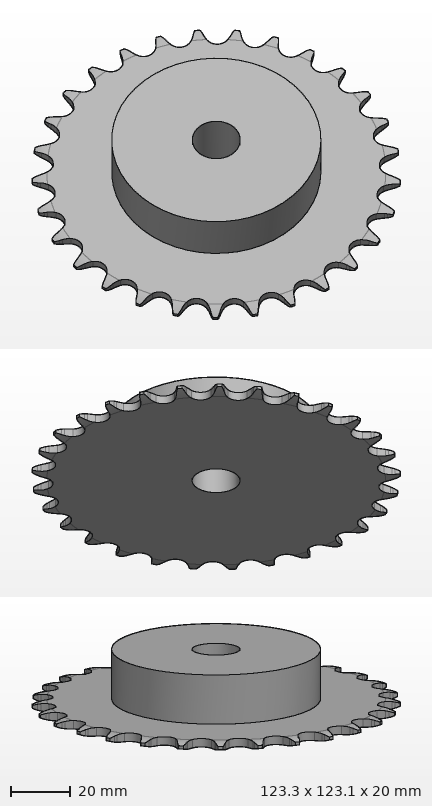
import cadquery as cq
import math


overall_length = 123.3
overall_height = 20.0
plate_thickness = 3.0
hub_diameter = 70.0
bore_diameter = 16.0

tooth_count = 29
chain_pitch = 12.7
seat_radius = 4.1
seat_half_angle = math.radians(53)
working_radius = 10.4
working_angle = math.radians(16)
flat_length = 1.07
tip_width = 1.6

bevel_start_radius = 56.7
bevel_arc_radius = 13.5

tooth_angle = 2 * math.pi / tooth_count
pitch_radius = chain_pitch / 2 / math.sin(tooth_angle / 2)
root_radius = pitch_radius - seat_radius

tip_half_angle = tip_width / overall_length
tip_radius = overall_length / 2 / math.cos(tooth_angle / 4 - tip_half_angle)


def polar(radius, angle):
    return radius * math.cos(angle), radius * math.sin(angle)


def offset(point, distance, angle):
    step_x, step_y = polar(distance, angle)
    return point[0] + step_x, point[1] + step_y


def tangent_arc_middle(start, heading, end):
    """Middle point of the arc that leaves start along heading and finishes at end."""
    chord_x = end[0] - start[0]
    chord_y = end[1] - start[1]
    turn = math.atan2(chord_y, chord_x) - heading
    half_chord = math.hypot(chord_x, chord_y) / 2
    return offset(start, half_chord / math.cos(turn / 2), heading + turn / 2)


def flank_points():
    """Points from seat to tip on the +Y flank of a tooth that points along +X."""
    gap_angle = tooth_angle / 2
    seat_center = polar(pitch_radius, gap_angle)
    seat_end_angle = gap_angle + math.pi + seat_half_angle
    working_end_angle = seat_end_angle + working_angle
    working_middle_angle = seat_end_angle + working_angle / 2
    flat_heading = working_end_angle + math.pi / 2 - 2 * math.pi

    seat_end = offset(seat_center, seat_radius, seat_end_angle)
    working_center = offset(seat_end, -working_radius, seat_end_angle)
    working_middle = offset(working_center, working_radius, working_middle_angle)
    working_end = offset(working_center, working_radius, working_end_angle)
    flat_end = offset(working_end, flat_length, flat_heading)
    tip_corner = polar(tip_radius, tip_half_angle)
    topping_middle = tangent_arc_middle(flat_end, flat_heading, tip_corner)
    return seat_end, working_middle, working_end, flat_end, topping_middle, tip_corner


def place_point(point, angle, side):
    """Mirror a flank point to the given side (+1 or -1) and turn it to the tooth at angle."""
    x, y = point[0], side * point[1]
    return (
        x * math.cos(angle) - y * math.sin(angle),
        x * math.sin(angle) + y * math.cos(angle),
    )


def tooth_outline():
    """Closed outline of all teeth, counterclockwise from the tooth that points along -Y."""
    flank = flank_points()
    first_tooth = -math.pi / 2
    outline = cq.Workplane("XY").moveTo(*place_point(flank[0], first_tooth, -1))
    for index in range(tooth_count):
        tooth = first_tooth + index * tooth_angle
        rising = [place_point(point, tooth, -1) for point in flank]
        falling = [place_point(point, tooth, 1) for point in flank]
        next_seat_end = place_point(flank[0], tooth + tooth_angle, -1)
        outline = (
            outline.threePointArc(rising[1], rising[2])
            .lineTo(*rising[3])
            .threePointArc(rising[4], rising[5])
            .threePointArc(polar(tip_radius, tooth), falling[5])
            .threePointArc(falling[4], falling[3])
            .lineTo(*falling[2])
            .threePointArc(falling[1], falling[0])
            .threePointArc(polar(root_radius, tooth + tooth_angle / 2), next_seat_end)
        )
    return outline.close()


def bevel_drop(radius):
    """Depth of the bevel arc below the plate face at a radius."""
    run = radius - bevel_start_radius
    return bevel_arc_radius - math.sqrt(bevel_arc_radius**2 - run**2)


def bevelled_disc():
    """Disc whose rim curves inward on both faces, revolved from its radial section."""
    rim_clearance = 0.6
    rim_radius = tip_radius + rim_clearance
    middle_radius = (bevel_start_radius + rim_radius) / 2
    middle_drop = bevel_drop(middle_radius)
    rim_drop = bevel_drop(rim_radius)
    return (
        cq.Workplane("XZ")
        .lineTo(bevel_start_radius, 0)
        .threePointArc((middle_radius, middle_drop), (rim_radius, rim_drop))
        .lineTo(rim_radius, plate_thickness - rim_drop)
        .threePointArc(
            (middle_radius, plate_thickness - middle_drop),
            (bevel_start_radius, plate_thickness),
        )
        .lineTo(0, plate_thickness)
        .close()
        .revolve(360, (0, 0), (0, 1))
    )


toothed_plate = tooth_outline().extrude(plate_thickness).intersect(bevelled_disc())
hub = cq.Workplane("XY").circle(hub_diameter / 2).extrude(overall_height)
bore = cq.Workplane("XY").circle(bore_diameter / 2).extrude(overall_height)

result = toothed_plate.union(hub).cut(bore)